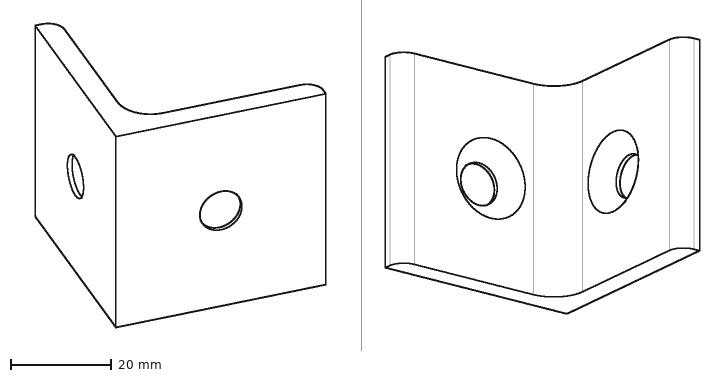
import cadquery as cq

side = 45.0
thickness = 5.0
root_radius = 7.0
toe_radius = 3.5
hole_diameter = 9.0
countersink_diameter = 17.0
countersink_angle = 90.0

half = side / 2
inner_x = half - thickness
inner_y = -half + thickness


def angle_profile():
    """L section with its outer corner at +X, -Y, rounded at the toes and the root."""
    return (
        cq.Workplane("XY")
        .workplane(offset=-half)
        .moveTo(-half, -half)
        .lineTo(half, -half)
        .lineTo(half, half)
        .lineTo(inner_x + toe_radius, half)
        .radiusArc((inner_x, half - toe_radius), -toe_radius)
        .lineTo(inner_x, inner_y + root_radius)
        .radiusArc((inner_x - root_radius, inner_y), root_radius)
        .lineTo(-half + toe_radius, inner_y)
        .radiusArc((-half, inner_y - toe_radius), -toe_radius)
        .close()
    )


def drill_countersunk(body, inner_face):
    """Drill a centred hole through a leg, countersunk from its inner face."""
    return body.copyWorkplane(inner_face).cskHole(
        hole_diameter, countersink_diameter, countersink_angle, depth=thickness
    )


bracket = angle_profile().extrude(side)

leg_along_x = cq.Workplane(cq.Plane(origin=(0, inner_y, 0), xDir=(1, 0, 0), normal=(0, 1, 0)))
leg_along_y = cq.Workplane(cq.Plane(origin=(inner_x, 0, 0), xDir=(0, 1, 0), normal=(-1, 0, 0)))

bracket = drill_countersunk(bracket, leg_along_x)
bracket = drill_countersunk(bracket, leg_along_y)

result = bracket